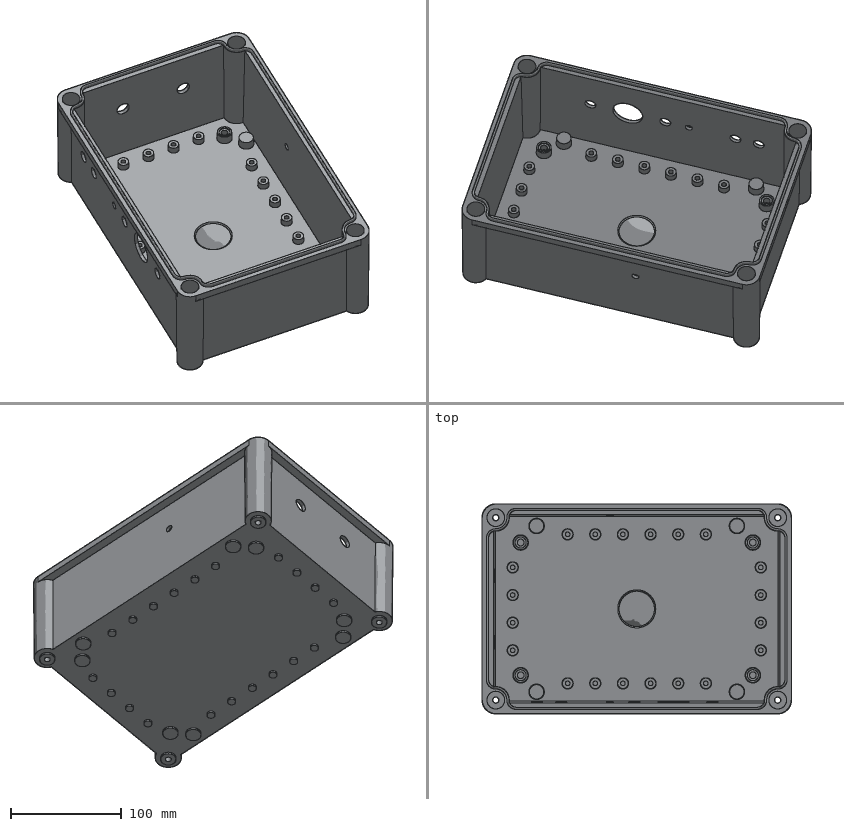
import cadquery as cq
import math

LENGTH = 280.0
WIDTH = 190.0
TOTAL_HEIGHT = 103.03

FOOT_HEIGHT = 2.0
FLOOR_THICKNESS = 3.5
LIP_HEIGHT = 2.83
BAND_HEIGHT = 7.4
BODY_BOTTOM = FOOT_HEIGHT
FLOOR_TOP = BODY_BOTTOM + FLOOR_THICKNESS
RIM_TOP = TOTAL_HEIGHT - LIP_HEIGHT
BAND_BOTTOM = RIM_TOP - BAND_HEIGHT

PILLAR_RADIUS = 12.5
PILLAR_DRAFT = 0.65
PILLAR_X = LENGTH / 2 - PILLAR_RADIUS
PILLAR_Y = WIDTH / 2 - PILLAR_RADIUS
SCREW_POCKET_DIAMETER = 16.01
SCREW_HOLE_DIAMETER = 5.33
SCREW_SEAT_THICKNESS = 8.0
PILLAR_FOOT_DIAMETER = 13.97
INNER_PILLAR_RADIUS = 12.2

WALL_INSET_TOP = (7.2, 7.2)
WALL_INSET_BOTTOM = (7.9, 7.9)
CAVITY_INSET_TOP = (10.4, 9.8)
CAVITY_INSET_BOTTOM = (12.2, 11.6)

LIP_INSET = 4.0
LIP_WIDTH = 2.0
LIP_PILLAR_RADIUS = 10.0

SMALL_BOSS_BASE_DIAMETER = 10.16
SMALL_BOSS_TOP_DIAMETER = 9.5
SMALL_BOSS_HOLE_DIAMETER = 4.19
SMALL_BOSS_FOOT_DIAMETER = 7.24
SMALL_BOSS_HEIGHT = 6.0
SMALL_BOSS_PITCH = 25.0
LONG_ROW_COUNT = 6
LONG_ROW_Y = 67.4
SHORT_ROW_COUNT = 4
SHORT_ROW_X = 112.2

LARGE_BOSS_BASE_DIAMETER = 14.0
LARGE_BOSS_TOP_DIAMETER = 13.0
LARGE_BOSS_FOOT_DIAMETER = 14.0
LARGE_BOSS_HEIGHT = 8.0
LARGE_BOSS_HOLE_DIAMETER = 6.1
LARGE_BOSS_RECESS_DIAMETER = 10.01
LARGE_BOSS_RECESS_DEPTH = 1.0
LARGE_BOSS_X = 105.0
LARGE_BOSS_Y = 60.0
POST_X = 90.6
POST_Y = 75.0

DIMPLE_RADIUS = 17.2
DOME_RADIUS = 16.0
DIMPLE_DEPTH = 1.0
DOME_HEIGHT = 2.0

HOLE_Z = 61.8
FRONT_HOLE_DIAMETER = 10.2
FRONT_HOLE_X = (-90.2, -68.3, -2.2, 68.3)
CONNECTOR_HOLE_DIAMETER = 28.0
CONNECTOR_HOLE_X = 33.2
PASSING_HOLE_DIAMETER = 6.3
PASSING_HOLE_X = -24.3
SIDE_HOLE_DIAMETER = 12.2
SIDE_HOLE_Y = 30.0
HOLE_REACH = 30.0


def four_corners(x, y):
    """Points mirrored into the four quadrants."""
    return [(sx * x, sy * y) for sx in (-1, 1) for sy in (-1, 1)]


def centred_row(count, pitch):
    """Evenly spaced offsets centred on zero."""
    return [(i - (count - 1) / 2) * pitch for i in range(count)]


def cylinders(points, diameter, bottom, top):
    return (
        cq.Workplane("XY")
        .workplane(offset=bottom)
        .pushPoints(points)
        .circle(diameter / 2)
        .extrude(top - bottom)
    )


def cones(points, base_diameter, top_diameter, bottom, top):
    solids = cq.Workplane("XY")
    for x, y in points:
        axis_start = cq.Vector(x, y, bottom)
        cone = cq.Solid.makeCone(base_diameter / 2, top_diameter / 2, top - bottom, pnt=axis_start)
        solids = solids.add(cone)
    return solids.combine()


def drafted_block(inset_bottom, inset_top, bottom, top):
    """Rectangular block whose sides lean between two (X, Y) insets from the envelope."""
    return (
        cq.Workplane("XY")
        .workplane(offset=bottom)
        .rect(LENGTH - 2 * inset_bottom[0], WIDTH - 2 * inset_bottom[1])
        .workplane(offset=top - bottom)
        .rect(LENGTH - 2 * inset_top[0], WIDTH - 2 * inset_top[1])
        .loft(ruled=True)
    )


def make_band():
    """Thicker wall belt under the rim, stopping at the pillar axes."""
    along_x = cq.Workplane("XY").rect(2 * PILLAR_X, WIDTH)
    along_y = cq.Workplane("XY").rect(LENGTH, 2 * PILLAR_Y)
    belt = along_x.extrude(BAND_HEIGHT).union(along_y.extrude(BAND_HEIGHT))
    return belt.translate((0, 0, BAND_BOTTOM))


def lip_outline(offset):
    """Lip contour moved inward by offset: straight sides that loop inside each pillar."""
    side_x = LENGTH / 2 - LIP_INSET - offset
    side_y = WIDTH / 2 - LIP_INSET - offset
    pillar_r = LIP_PILLAR_RADIUS + offset
    bend_r = PILLAR_RADIUS - LIP_INSET - offset
    reach = pillar_r + bend_r
    half_root = math.sqrt(0.5)

    corner = [
        (side_x, PILLAR_Y - reach),
        (PILLAR_X + bend_r * half_root, PILLAR_Y - reach + bend_r * half_root),
        (PILLAR_X, PILLAR_Y - pillar_r),
        (PILLAR_X - pillar_r * half_root, PILLAR_Y - pillar_r * half_root),
        (PILLAR_X - pillar_r, PILLAR_Y),
        (PILLAR_X - reach + bend_r * half_root, PILLAR_Y + bend_r * half_root),
        (PILLAR_X - reach, side_y),
    ]
    outline = cq.Workplane("XY").workplane(offset=RIM_TOP).moveTo(side_x, 0)
    for sx, sy in ((1, 1), (-1, 1), (-1, -1), (1, -1)):
        points = [(sx * x, sy * y) for x, y in corner]
        if sx != sy:
            points.reverse()
        outline = outline.lineTo(*points[0])
        for middle, end in zip(points[1::2], points[2::2]):
            outline = outline.threePointArc(middle, end)
    return outline.close()


def make_lip():
    """Upright ring with a full round crest."""
    crest_radius = LIP_WIDTH / 2
    upright_height = LIP_HEIGHT - crest_radius
    outer = lip_outline(0).extrude(upright_height)
    inner = lip_outline(LIP_WIDTH).extrude(upright_height)
    crest_path = lip_outline(crest_radius).translate((0, 0, upright_height))
    start_x = LENGTH / 2 - LIP_INSET - crest_radius
    crest = (
        cq.Workplane("XZ", origin=(start_x, 0, RIM_TOP + upright_height))
        .circle(crest_radius)
        .sweep(crest_path)
    )
    return outer.cut(inner).union(crest)


def make_shell():
    """Walls, floor, belt, corner pillars and lip, with the cavity left open at the top."""
    corners = four_corners(PILLAR_X, PILLAR_Y)
    pillar_base_diameter = 2 * (PILLAR_RADIUS - PILLAR_DRAFT)
    pillars = cones(corners, pillar_base_diameter, 2 * PILLAR_RADIUS, BODY_BOTTOM, RIM_TOP)
    sleeves = cylinders(corners, 2 * INNER_PILLAR_RADIUS, FLOOR_TOP, RIM_TOP)
    walls = drafted_block(WALL_INSET_BOTTOM, WALL_INSET_TOP, BODY_BOTTOM, RIM_TOP)
    cavity = drafted_block(CAVITY_INSET_BOTTOM, CAVITY_INSET_TOP, FLOOR_TOP, RIM_TOP)
    shell = walls.union(make_band()).union(pillars)
    return shell.cut(cavity.cut(sleeves)).union(make_lip())


def add_pillar_details(body):
    """Foot, screw-head pocket and clearance hole of each corner pillar."""
    corners = four_corners(PILLAR_X, PILLAR_Y)
    seat = BODY_BOTTOM + SCREW_SEAT_THICKNESS
    body = body.union(cylinders(corners, PILLAR_FOOT_DIAMETER, 0, BODY_BOTTOM))
    body = body.cut(cylinders(corners, SCREW_POCKET_DIAMETER, seat, RIM_TOP))
    return body.cut(cylinders(corners, SCREW_HOLE_DIAMETER, 0, seat))


def add_small_bosses(body):
    points = []
    for side in (-1, 1):
        points += [(x, side * LONG_ROW_Y) for x in centred_row(LONG_ROW_COUNT, SMALL_BOSS_PITCH)]
        points += [(side * SHORT_ROW_X, y) for y in centred_row(SHORT_ROW_COUNT, SMALL_BOSS_PITCH)]
    top = FLOOR_TOP + SMALL_BOSS_HEIGHT
    body = body.union(cones(points, SMALL_BOSS_BASE_DIAMETER, SMALL_BOSS_TOP_DIAMETER, FLOOR_TOP, top))
    body = body.union(cylinders(points, SMALL_BOSS_FOOT_DIAMETER, 0, BODY_BOTTOM))
    return body.cut(cylinders(points, SMALL_BOSS_HOLE_DIAMETER, FLOOR_TOP, top))


def add_large_bosses(body):
    """Recessed screw bosses and plain posts of the same outer shape."""
    bosses = four_corners(LARGE_BOSS_X, LARGE_BOSS_Y)
    points = bosses + four_corners(POST_X, POST_Y)
    top = FLOOR_TOP + LARGE_BOSS_HEIGHT
    recess_floor = top - LARGE_BOSS_RECESS_DEPTH
    body = body.union(cones(points, LARGE_BOSS_BASE_DIAMETER, LARGE_BOSS_TOP_DIAMETER, FLOOR_TOP, top))
    body = body.union(cylinders(points, LARGE_BOSS_FOOT_DIAMETER, 0, BODY_BOTTOM))
    body = body.cut(cylinders(bosses, LARGE_BOSS_RECESS_DIAMETER, recess_floor, top))
    return body.cut(cylinders(bosses, LARGE_BOSS_HOLE_DIAMETER, FLOOR_TOP, top))


def add_dome(body):
    """Conical-sided dimple with a spherical cap rising from its bottom."""
    dimple_bottom = FLOOR_TOP - DIMPLE_DEPTH
    dimple = cones([(0, 0)], 2 * DOME_RADIUS, 2 * DIMPLE_RADIUS, dimple_bottom, FLOOR_TOP)
    sphere_radius = (DOME_RADIUS**2 + DOME_HEIGHT**2) / (2 * DOME_HEIGHT)
    centre_z = dimple_bottom + DOME_HEIGHT - sphere_radius
    sphere = cq.Workplane("XY").sphere(sphere_radius).translate((0, 0, centre_z))
    cap = cylinders([(0, 0)], 2 * DOME_RADIUS, dimple_bottom, FLOOR_TOP + DOME_HEIGHT).intersect(sphere)
    return body.cut(dimple).union(cap)


def wall_holes_y(xs, diameter, start, depth):
    return (
        cq.Workplane("XZ", origin=(0, start, 0))
        .pushPoints([(x, HOLE_Z) for x in xs])
        .circle(diameter / 2)
        .extrude(-depth)
    )


def cut_wall_holes(body):
    front = -WIDTH / 2
    body = body.cut(wall_holes_y(FRONT_HOLE_X, FRONT_HOLE_DIAMETER, front, HOLE_REACH))
    body = body.cut(wall_holes_y((CONNECTOR_HOLE_X,), CONNECTOR_HOLE_DIAMETER, front, HOLE_REACH))
    body = body.cut(wall_holes_y((PASSING_HOLE_X,), PASSING_HOLE_DIAMETER, front, WIDTH))
    side = (
        cq.Workplane("YZ", origin=(-LENGTH / 2, 0, 0))
        .pushPoints([(s * SIDE_HOLE_Y, HOLE_Z) for s in (-1, 1)])
        .circle(SIDE_HOLE_DIAMETER / 2)
        .extrude(HOLE_REACH)
    )
    return body.cut(side)


enclosure = add_pillar_details(make_shell())
enclosure = add_small_bosses(enclosure)
enclosure = add_large_bosses(enclosure)
enclosure = add_dome(enclosure)
result = cut_wall_holes(enclosure)